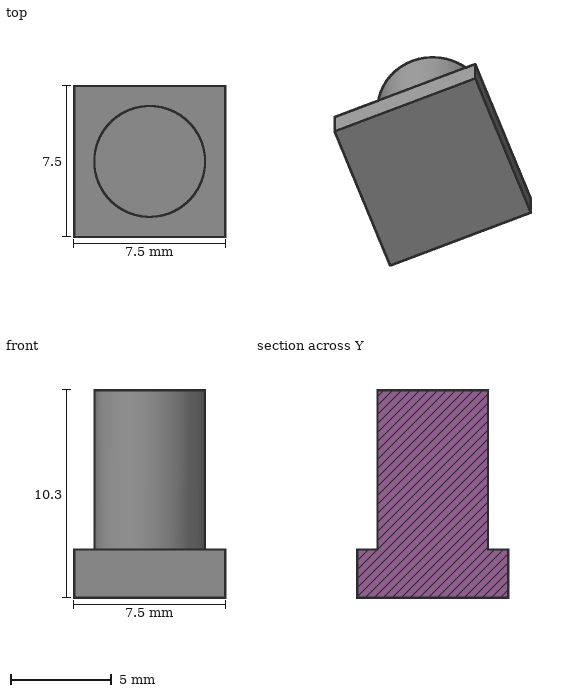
import cadquery as cq

base_side = 7.5
base_height = 2.4
total_height = 10.3
pin_diameter = 5.5

pin_height = total_height - base_height


def make_base():
    """Square block centred on the Z axis, standing on Z = 0."""
    return cq.Workplane("XY").rect(base_side, base_side).extrude(base_height)


def add_pin(body):
    """Round pin rising from the centre of the block's top face."""
    return body.faces(">Z").workplane().circle(pin_diameter / 2).extrude(pin_height)


result = add_pin(make_base())